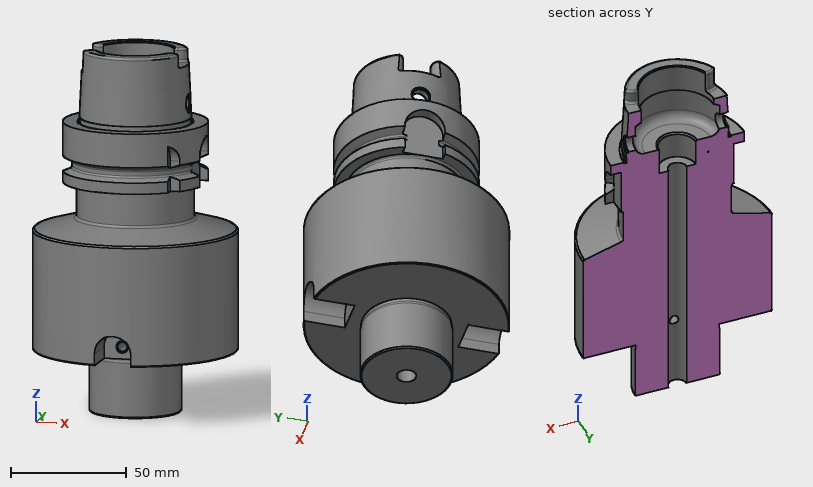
import cadquery as cq
import math

TOTAL_HEIGHT = 159.0
BODY_BOTTOM = 27.2
BODY_RIM = 80.1
NECK_BOTTOM = 84.9
FLANGE_BOTTOM = 100.8
GROOVE_MIDDLE = 109.0
FLANGE_TOP = 127.2

BODY_DIAMETER = 89.0
SPIGOT_DIAMETER = 40.0
SPIGOT_RELIEF_DIAMETER = 39.5
NECK_DIAMETER = 51.0
FLANGE_DIAMETER = 63.0
SHANK_RELIEF_DIAMETER = 48.0

SPIGOT_CHAMFER = 0.6
SPIGOT_RELIEF_HEIGHT = 2.7
SPIGOT_RELIEF_CHAMFER = 1.3
BODY_CHAMFER = 0.5
BODY_RIM_CHAMFER = 0.8
NECK_FILLET = 1.1
SHANK_TOP_FILLET = 1.1

GROOVE_FLOOR_DIAMETER = 55.0
GROOVE_FLOOR_HEIGHT = 3.0
GROOVE_FLOOR_FILLET = 1.0
GROOVE_FLANK_ANGLE = 25.0

SHANK_BASE_DIAMETER = 48.7
SHANK_RELIEF_TOP = 129.1
FACE_GROOVE_DIAMETER = 50.2
FACE_GROOVE_DEPTH = 0.6
SHANK_TAPER = 1 / 10

BORE_DIAMETER = 34.0
BORE_CHAMFER = 0.5
BORE_END = 146.1
CLAMP_GROOVE_DIAMETER = 39.5
CLAMP_SHOULDER_ANGLE = 30.0
CAVITY_FLOOR = 129.3
CAVITY_FLOOR_FILLET = 4.3
COOLANT_SEAT_DIAMETER = 17.0
COOLANT_SEAT_MOUTH_DIAMETER = 18.5
COOLANT_SEAT_DEPTH = 12.7
COOLANT_BORE_DIAMETER = 8.5

ACCESS_HOLE_DIAMETER = 7.5
ACCESS_HOLE_MOUTH_DIAMETER = 8.5
ACCESS_HOLE_HEIGHT = 136.0
ACCESS_HOLE_MOUTH_START = 22.9

SHANK_SLOT_WIDTH = 12.5
SHANK_SLOT_FLARE_START = 17.3
SHANK_SLOT_FLARE_RADIUS = 4.0
SHANK_SLOT_FLOOR_FILLET = 1.1
DEEP_SHANK_SLOT_FLOOR = 149.1
SHALLOW_SHANK_SLOT_FLOOR = 152.8

KEYWAY_FLOOR = 26.5
KEYWAY_TOP = 122.0
WIDE_KEYWAY_WIDTH = 18.0
NARROW_KEYWAY_WIDTH = 16.0
NOTCH_WALL = 20.0
NOTCH_ROUND_RADIUS = 7.5
NOTCH_ROUND_CENTRE = 114.3

BODY_SLOT_WIDTH = 16.0
BODY_SLOT_CENTRE = 32.5
BODY_SLOT_FLOOR = 25.5
SCREW_HOLE_DIAMETER = 4.1
SCREW_HOLE_MOUTH_DIAMETER = 5.2


def turned_outside():
    """Revolved outer shape, from the spigot end up to the shank end."""
    spigot = SPIGOT_DIAMETER / 2
    relief = SPIGOT_RELIEF_DIAMETER / 2
    body = BODY_DIAMETER / 2
    neck = NECK_DIAMETER / 2
    flange = FLANGE_DIAMETER / 2
    groove = GROOVE_FLOOR_DIAMETER / 2
    shank_relief = SHANK_RELIEF_DIAMETER / 2
    face_groove = FACE_GROOVE_DIAMETER / 2
    shank_base = SHANK_BASE_DIAMETER / 2
    shank_end = shank_base - (TOTAL_HEIGHT - SHANK_RELIEF_TOP) * SHANK_TAPER / 2
    relief_bottom = BODY_BOTTOM - SPIGOT_RELIEF_HEIGHT
    groove_half_floor = GROOVE_FLOOR_HEIGHT / 2
    groove_half_mouth = groove_half_floor + (flange - groove) * math.tan(math.radians(GROOVE_FLANK_ANGLE))
    profile = (
        cq.Workplane("XZ")
        .moveTo(0, 0)
        .lineTo(spigot - SPIGOT_CHAMFER, 0)
        .lineTo(spigot, SPIGOT_CHAMFER)
        .lineTo(spigot, relief_bottom)
        .lineTo(relief, relief_bottom + SPIGOT_RELIEF_CHAMFER)
        .lineTo(relief, BODY_BOTTOM)
        .lineTo(body - BODY_CHAMFER, BODY_BOTTOM)
        .lineTo(body, BODY_BOTTOM + BODY_CHAMFER)
        .lineTo(body, BODY_RIM - BODY_RIM_CHAMFER)
        .lineTo(body - BODY_RIM_CHAMFER, BODY_RIM)
        .lineTo(neck + NECK_FILLET, NECK_BOTTOM)
        .radiusArc((neck, NECK_BOTTOM + NECK_FILLET), NECK_FILLET)
        .lineTo(neck, FLANGE_BOTTOM - NECK_FILLET)
        .radiusArc((neck + NECK_FILLET, FLANGE_BOTTOM), NECK_FILLET)
        .lineTo(flange, FLANGE_BOTTOM)
        .lineTo(flange, GROOVE_MIDDLE - groove_half_mouth)
        .lineTo(groove, GROOVE_MIDDLE - groove_half_floor)
        .lineTo(groove, GROOVE_MIDDLE + groove_half_floor)
        .lineTo(flange, GROOVE_MIDDLE + groove_half_mouth)
        .lineTo(flange, FLANGE_TOP)
        .lineTo(face_groove, FLANGE_TOP)
        .lineTo(face_groove, FLANGE_TOP - FACE_GROOVE_DEPTH)
        .lineTo(shank_relief, FLANGE_TOP - FACE_GROOVE_DEPTH)
        .lineTo(shank_relief, SHANK_RELIEF_TOP)
        .lineTo(shank_base, SHANK_RELIEF_TOP)
        .lineTo(shank_end, TOTAL_HEIGHT)
        .lineTo(0, TOTAL_HEIGHT)
        .close()
    )
    solid = profile.revolve(360, (0, 0, 0), (0, 1, 0))
    floor_corners = cq.selectors.BoxSelector(
        (-1.6, -1.6, GROOVE_MIDDLE - GROOVE_FLOOR_HEIGHT), (1.6, 1.6, GROOVE_MIDDLE + GROOVE_FLOOR_HEIGHT)
    )
    return solid.edges(floor_corners).fillet(GROOVE_FLOOR_FILLET)


def cavity():
    """Revolved hollow of the shank and the coolant bore through the part."""
    bore = BORE_DIAMETER / 2
    clamp = CLAMP_GROOVE_DIAMETER / 2
    seat = COOLANT_SEAT_DIAMETER / 2
    seat_mouth = COOLANT_SEAT_MOUTH_DIAMETER / 2
    coolant = COOLANT_BORE_DIAMETER / 2
    shoulder = (clamp - bore) * math.tan(math.radians(CLAMP_SHOULDER_ANGLE))
    seat_bottom = CAVITY_FLOOR - COOLANT_SEAT_DEPTH
    return (
        cq.Workplane("XZ")
        .moveTo(0, 0)
        .lineTo(coolant, 0)
        .lineTo(coolant, seat_bottom)
        .lineTo(seat, seat_bottom)
        .lineTo(seat, CAVITY_FLOOR - (seat_mouth - seat))
        .lineTo(seat_mouth, CAVITY_FLOOR)
        .lineTo(clamp - CAVITY_FLOOR_FILLET, CAVITY_FLOOR)
        .radiusArc((clamp, CAVITY_FLOOR + CAVITY_FLOOR_FILLET), -CAVITY_FLOOR_FILLET)
        .lineTo(clamp, BORE_END - shoulder)
        .lineTo(bore, BORE_END)
        .lineTo(bore, TOTAL_HEIGHT - BORE_CHAMFER)
        .lineTo(bore + BORE_CHAMFER, TOTAL_HEIGHT)
        .lineTo(0, TOTAL_HEIGHT)
        .close()
        .revolve(360, (0, 0, 0), (0, 1, 0))
    )


def shank_slot(floor):
    """Slot on the +X side of the shank end, flared where it meets the outside."""
    half_width = SHANK_SLOT_WIDTH / 2
    flare_x = SHANK_SLOT_FLARE_START + SHANK_SLOT_FLARE_RADIUS
    flare_y = half_width + SHANK_SLOT_FLARE_RADIUS
    outside_x = FLANGE_DIAMETER / 2
    return (
        cq.Workplane("XY", origin=(0, 0, floor))
        .moveTo(0, -half_width)
        .lineTo(SHANK_SLOT_FLARE_START, -half_width)
        .radiusArc((flare_x, -flare_y), SHANK_SLOT_FLARE_RADIUS)
        .lineTo(flare_x, -outside_x)
        .lineTo(outside_x, -outside_x)
        .lineTo(outside_x, outside_x)
        .lineTo(flare_x, outside_x)
        .lineTo(flare_x, flare_y)
        .radiusArc((SHANK_SLOT_FLARE_START, half_width), SHANK_SLOT_FLARE_RADIUS)
        .lineTo(0, half_width)
        .close()
        .extrude(TOTAL_HEIGHT - floor)
        .faces("<Z")
        .edges()
        .fillet(SHANK_SLOT_FLOOR_FILLET)
    )


def round_topped_slot(width, centre, bottom, floor, outside):
    """Slot on the +X side with a half-round top and an open bottom."""
    half_width = width / 2
    return (
        cq.Workplane("YZ", origin=(floor, 0, 0))
        .moveTo(-half_width, bottom)
        .lineTo(half_width, bottom)
        .lineTo(half_width, centre)
        .threePointArc((0, centre + half_width), (-half_width, centre))
        .close()
        .extrude(outside - floor)
    )


def keyway(width):
    """Flange keyway on the +X side, from the keyway top down through the flange."""
    return round_topped_slot(width, KEYWAY_TOP - width / 2, FLANGE_BOTTOM, KEYWAY_FLOOR, FLANGE_DIAMETER / 2)


def index_notch():
    """Corner cut in the flange at +X -Y, its back wall curling outward at the top."""
    outside = FLANGE_DIAMETER / 2
    wall_y = -NOTCH_WALL
    round_y = wall_y - NOTCH_ROUND_RADIUS
    round_top = NOTCH_ROUND_CENTRE + NOTCH_ROUND_RADIUS
    return (
        cq.Workplane("YZ", origin=(NOTCH_WALL, 0, 0))
        .moveTo(-outside, FLANGE_BOTTOM)
        .lineTo(wall_y, FLANGE_BOTTOM)
        .lineTo(wall_y, NOTCH_ROUND_CENTRE)
        .radiusArc((round_y, round_top), -NOTCH_ROUND_RADIUS)
        .lineTo(-outside, round_top)
        .close()
        .extrude(outside - NOTCH_WALL)
    )


def access_hole():
    """Hole through the +X shank wall, widened at its mouth."""
    hole = ACCESS_HOLE_DIAMETER / 2
    mouth = ACCESS_HOLE_MOUTH_DIAMETER / 2
    outside_x = FLANGE_DIAMETER / 2
    return (
        cq.Workplane("XY", origin=(0, 0, ACCESS_HOLE_HEIGHT))
        .lineTo(0, hole)
        .lineTo(ACCESS_HOLE_MOUTH_START, hole)
        .lineTo(ACCESS_HOLE_MOUTH_START + (mouth - hole), mouth)
        .lineTo(outside_x, mouth)
        .lineTo(outside_x, 0)
        .close()
        .revolve(360, (0, 0, 0), (1, 0, 0))
    )


def screw_hole():
    """Countersunk hole from the floor of the -Y body slot into the coolant bore."""
    hole = SCREW_HOLE_DIAMETER / 2
    mouth = SCREW_HOLE_MOUTH_DIAMETER / 2
    return (
        cq.Workplane("XY", origin=(0, 0, BODY_SLOT_CENTRE))
        .lineTo(hole, 0)
        .lineTo(hole, -BODY_SLOT_FLOOR + (mouth - hole))
        .lineTo(mouth, -BODY_SLOT_FLOOR)
        .lineTo(0, -BODY_SLOT_FLOOR)
        .close()
        .revolve(360, (0, 0, 0), (0, 1, 0))
    )


def turned_about_z(solid, angle):
    """The solid turned about the tool axis, in degrees."""
    return solid.rotate((0, 0, 0), (0, 0, 1), angle)


result = turned_outside()

result = result.cut(shank_slot(SHALLOW_SHANK_SLOT_FLOOR))
result = result.cut(turned_about_z(shank_slot(DEEP_SHANK_SLOT_FLOOR), 180))
result = result.faces(">Z").edges().fillet(SHANK_TOP_FILLET)
result = result.cut(cavity())
for angle in (0, 180):
    result = result.cut(turned_about_z(access_hole(), angle))

result = result.cut(keyway(NARROW_KEYWAY_WIDTH))
result = result.cut(turned_about_z(keyway(WIDE_KEYWAY_WIDTH), 180))
result = result.cut(index_notch())

body_slot = round_topped_slot(
    BODY_SLOT_WIDTH, BODY_SLOT_CENTRE, BODY_BOTTOM, BODY_SLOT_FLOOR, BODY_DIAMETER / 2
)
for angle in (-90, 90):
    result = result.cut(turned_about_z(body_slot, angle))
result = result.cut(screw_hole())